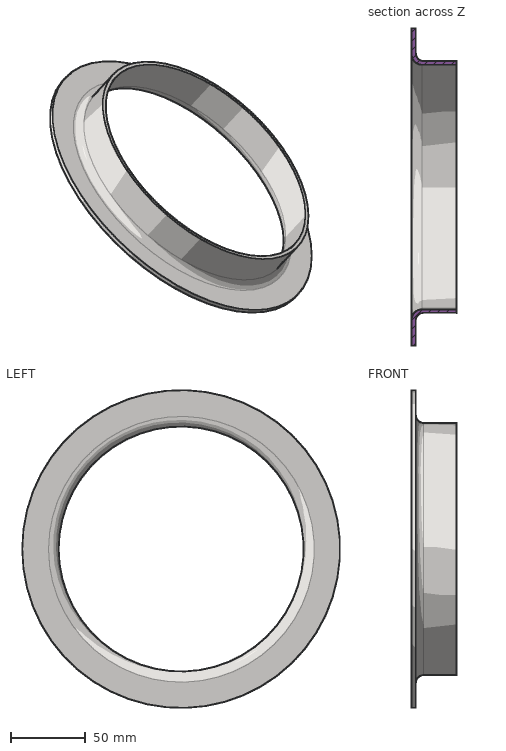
import cadquery as cq

flange_diameter = 212.0
collar_outer_diameter = 168.3
collar_inner_diameter = 163.1
total_length = 30.0
flange_thickness = 3.0
inner_bend_radius = 7.0
outer_bend_radius = 5.0

flange_radius = flange_diameter / 2
collar_outer_radius = collar_outer_diameter / 2
collar_inner_radius = collar_inner_diameter / 2


def flanged_collar():
    """Revolve the L-shaped wall section, with both bends rounded, about X."""
    face_inner_radius = collar_inner_radius + inner_bend_radius
    outer_bend_end_x = flange_thickness + outer_bend_radius
    outer_bend_start_radius = collar_outer_radius + outer_bend_radius
    section = (
        cq.Workplane("XY")
        .moveTo(0, face_inner_radius)
        .lineTo(0, flange_radius)
        .lineTo(flange_thickness, flange_radius)
        .lineTo(flange_thickness, outer_bend_start_radius)
        .radiusArc((outer_bend_end_x, collar_outer_radius), -outer_bend_radius)
        .lineTo(total_length, collar_outer_radius)
        .lineTo(total_length, collar_inner_radius)
        .lineTo(inner_bend_radius, collar_inner_radius)
        .radiusArc((0, face_inner_radius), inner_bend_radius)
        .close()
    )
    return section.revolve(360, (0, 0, 0), (1, 0, 0))


result = flanged_collar()